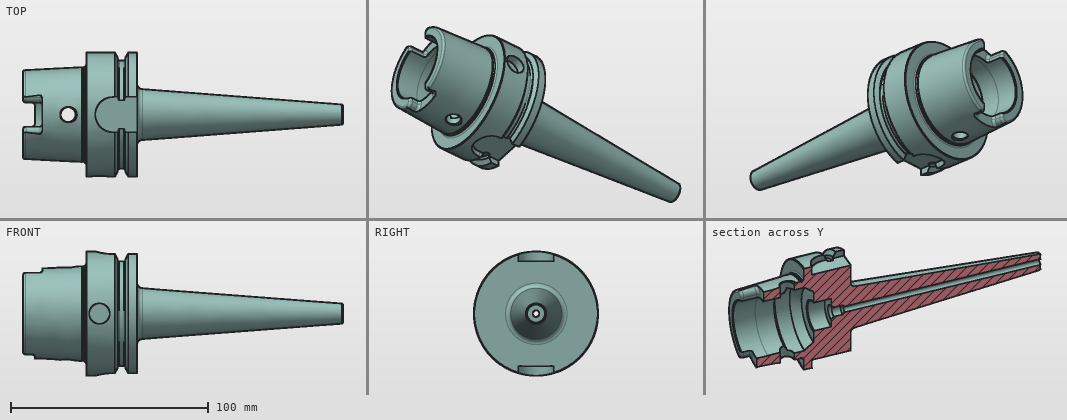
import cadquery as cq
import math


LENGTH = 161.9
FLANGE_START = 31.9
FLANGE_END = 57.8

TAPER_END = 29.8
TAPER_END_DIAMETER = 48.1
TAPER_END_RADIUS = TAPER_END_DIAMETER / 2
TAPER_SLOPE = 0.05
TAPER_MOUTH_RADIUS = TAPER_END_RADIUS - TAPER_SLOPE * TAPER_END
MOUTH_FILLET = 1.1

RELIEF_DEPTH = 0.4
RELIEF_WIDTH = 0.8
SHOULDER_RADIUS = 24.3
SHOULDER_FILLET = 1.0

FLANGE_DIAMETER = 63.0
FLANGE_RADIUS = FLANGE_DIAMETER / 2
FLANGE_CHAMFER = 0.3
GROOVE_CENTER = 49.9
GROOVE_MOUTH_WIDTH = 6.8
GROOVE_NECK_WIDTH = 3.7
GROOVE_FLOOR_RADIUS = 27.5
GROOVE_FILLET = 0.8
GROOVE_FLANK_ANGLE = 30.0
GROOVE_NECK_RADIUS = FLANGE_RADIUS - (GROOVE_MOUTH_WIDTH - GROOVE_NECK_WIDTH) / 2 / math.tan(
    math.radians(GROOVE_FLANK_ANGLE)
)

NOSE_ROOT_RADIUS = 13.0
NOSE_TIP_RADIUS = 5.2
NOSE_ROOT_FILLET = 2.6
NOSE_CHAMFER = 0.6

BORE_RADIUS = 17.0
BORE_CHAMFER = 0.5
BORE_STRAIGHT_DEPTH = 12.3
LIP_X = 22.7
LIP_RADIUS = 16.8
CHAMBER_RADIUS = 19.5
CHAMBER_SHOULDER_LENGTH = 1.6
CHAMBER_END = 32.4
FLOOR_RADIUS = 15.5
BORE_DEPTH = 37.2
COOLANT_RADIUS = 8.5
COOLANT_CHAMFER = 0.5
COOLANT_DEPTH = 9.7
FUNNEL_RADIUS = 4.2
PILOT_RADIUS = 2.8
PILOT_DEPTH = 4.9
CHANNEL_RADIUS = 1.6

DRIVE_WIDTH = 12.1
DRIVE_HALF_WIDTH = DRIVE_WIDTH / 2
DRIVE_FLARE_RADIUS = 2.8
DRIVE_FLARE_TOP = 20.7
DRIVE_CORNER_FILLET = 1.5
DRIVE_MOUTH_FILLET = 1.5
DRIVE_DEPTH_UPPER = 9.9
DRIVE_DEPTH_LOWER = 6.0
PLATE_THICKNESS = 1.6
SELECT_MARGIN = 0.2

CROSS_X = 22.8
CROSS_RADIUS = 3.7
CROSS_CHAMFER = 0.57

KEYWAY_START = 36.6
KEYWAY_HALF_WIDTH = 8.9
KEYWAY_FLOOR = 26.5

POCKET_X = 38.7
POCKET_RADIUS = 5.2
POCKET_DEPTH = 5.0


def turned_body():
    """Solid of revolution: shank, relief, grooved flange and nose."""
    relief_radius = TAPER_END_RADIUS - RELIEF_DEPTH
    relief_end = TAPER_END + RELIEF_WIDTH
    shoulder_start = relief_end + SHOULDER_RADIUS - relief_radius
    mouth_half = GROOVE_MOUTH_WIDTH / 2
    neck_half = GROOVE_NECK_WIDTH / 2
    profile = (
        cq.Workplane("XY")
        .moveTo(0, 0)
        .lineTo(0, TAPER_MOUTH_RADIUS - MOUTH_FILLET)
        .radiusArc((MOUTH_FILLET, TAPER_MOUTH_RADIUS), MOUTH_FILLET)
        .lineTo(TAPER_END, TAPER_END_RADIUS)
        .lineTo(relief_end, relief_radius)
        .lineTo(shoulder_start, SHOULDER_RADIUS)
        .radiusArc((FLANGE_START, SHOULDER_RADIUS + SHOULDER_FILLET), -SHOULDER_FILLET)
        .lineTo(FLANGE_START, FLANGE_RADIUS - FLANGE_CHAMFER)
        .lineTo(FLANGE_START + FLANGE_CHAMFER, FLANGE_RADIUS)
        .lineTo(GROOVE_CENTER - mouth_half, FLANGE_RADIUS)
        .lineTo(GROOVE_CENTER - neck_half, GROOVE_NECK_RADIUS)
        .lineTo(GROOVE_CENTER - neck_half, GROOVE_FLOOR_RADIUS + GROOVE_FILLET)
        .radiusArc((GROOVE_CENTER - neck_half + GROOVE_FILLET, GROOVE_FLOOR_RADIUS), -GROOVE_FILLET)
        .lineTo(GROOVE_CENTER + neck_half - GROOVE_FILLET, GROOVE_FLOOR_RADIUS)
        .radiusArc((GROOVE_CENTER + neck_half, GROOVE_FLOOR_RADIUS + GROOVE_FILLET), -GROOVE_FILLET)
        .lineTo(GROOVE_CENTER + neck_half, GROOVE_NECK_RADIUS)
        .lineTo(GROOVE_CENTER + mouth_half, FLANGE_RADIUS)
        .lineTo(FLANGE_END - FLANGE_CHAMFER, FLANGE_RADIUS)
        .lineTo(FLANGE_END, FLANGE_RADIUS - FLANGE_CHAMFER)
        .lineTo(FLANGE_END, NOSE_ROOT_RADIUS + NOSE_ROOT_FILLET)
        .radiusArc((FLANGE_END + NOSE_ROOT_FILLET, NOSE_ROOT_RADIUS), -NOSE_ROOT_FILLET)
        .lineTo(LENGTH - NOSE_CHAMFER, NOSE_TIP_RADIUS)
        .lineTo(LENGTH, NOSE_TIP_RADIUS - NOSE_CHAMFER)
        .lineTo(LENGTH, 0)
        .close()
    )
    return profile.revolve(360, (0, 0, 0), (1, 0, 0))


def axial_bores():
    """Stepped cavity on the axis, open at both ends."""
    coolant_end = BORE_DEPTH + COOLANT_DEPTH
    funnel_end = coolant_end + FUNNEL_RADIUS - PILOT_RADIUS
    pilot_end = funnel_end + PILOT_DEPTH
    profile = (
        cq.Workplane("XY")
        .moveTo(0, 0)
        .lineTo(0, BORE_RADIUS + BORE_CHAMFER)
        .lineTo(BORE_CHAMFER, BORE_RADIUS)
        .lineTo(BORE_STRAIGHT_DEPTH, BORE_RADIUS)
        .lineTo(LIP_X, LIP_RADIUS)
        .lineTo(LIP_X + CHAMBER_SHOULDER_LENGTH, CHAMBER_RADIUS)
        .lineTo(CHAMBER_END, CHAMBER_RADIUS)
        .lineTo(BORE_DEPTH, FLOOR_RADIUS)
        .lineTo(BORE_DEPTH, COOLANT_RADIUS + COOLANT_CHAMFER)
        .lineTo(BORE_DEPTH + COOLANT_CHAMFER, COOLANT_RADIUS)
        .lineTo(coolant_end, COOLANT_RADIUS)
        .lineTo(coolant_end, FUNNEL_RADIUS)
        .lineTo(funnel_end, PILOT_RADIUS)
        .lineTo(pilot_end, PILOT_RADIUS)
        .lineTo(pilot_end + PILOT_RADIUS - CHANNEL_RADIUS, CHANNEL_RADIUS)
        .lineTo(LENGTH, CHANNEL_RADIUS)
        .lineTo(LENGTH, 0)
        .close()
    )
    return profile.revolve(360, (0, 0, 0), (1, 0, 0))


def drive_slot(depth, side):
    """Slot with walls that flare outward; side is +1 for +Z and -1 for -Z."""
    flare_half = DRIVE_HALF_WIDTH + DRIVE_FLARE_RADIUS
    flare_start = DRIVE_FLARE_TOP - DRIVE_FLARE_RADIUS
    flare_mid = DRIVE_FLARE_RADIUS * math.sqrt(0.5)
    slot = (
        cq.Workplane("YZ")
        .moveTo(-DRIVE_HALF_WIDTH, 0)
        .lineTo(-DRIVE_HALF_WIDTH, flare_start)
        .threePointArc((-flare_half + flare_mid, flare_start + flare_mid), (-flare_half, DRIVE_FLARE_TOP))
        .lineTo(-FLANGE_RADIUS, DRIVE_FLARE_TOP)
        .lineTo(-FLANGE_RADIUS, FLANGE_RADIUS)
        .lineTo(FLANGE_RADIUS, FLANGE_RADIUS)
        .lineTo(FLANGE_RADIUS, DRIVE_FLARE_TOP)
        .lineTo(flare_half, DRIVE_FLARE_TOP)
        .threePointArc((flare_half - flare_mid, flare_start + flare_mid), (DRIVE_HALF_WIDTH, flare_start))
        .lineTo(DRIVE_HALF_WIDTH, 0)
        .close()
        .extrude(depth)
        .faces(">X")
        .edges()
        .fillet(DRIVE_CORNER_FILLET)
    )
    width = 2 * FLANGE_RADIUS
    plate = cq.Workplane("XY").box(PLATE_THICKNESS, width, FLANGE_RADIUS, centered=(False, True, False))
    slot = slot.union(plate.translate((-PLATE_THICKNESS, 0, 0)))
    mouth_walls = cq.selectors.BoxSelector(
        (-SELECT_MARGIN, SELECT_MARGIN - FLANGE_RADIUS, SELECT_MARGIN),
        (SELECT_MARGIN, FLANGE_RADIUS - SELECT_MARGIN, FLANGE_RADIUS - SELECT_MARGIN),
    )
    slot = slot.edges(mouth_walls).fillet(DRIVE_MOUTH_FILLET)
    return slot if side > 0 else slot.mirror("XY")


def cross_hole():
    """Hole along Z through both shank walls, countersunk at the taper surface."""
    surface = TAPER_MOUTH_RADIUS + TAPER_SLOPE * CROSS_X
    sink_start = surface - CROSS_CHAMFER
    sink_height = 2 * CROSS_CHAMFER
    sink_end = sink_start + sink_height
    profile = (
        cq.Workplane("XZ")
        .lineTo(CROSS_RADIUS, 0)
        .lineTo(CROSS_RADIUS, sink_start)
        .lineTo(CROSS_RADIUS + sink_height, sink_end)
        .lineTo(0, sink_end)
        .close()
    )
    half = profile.revolve(360, (0, 0, 0), (0, 1, 0))
    return half.union(half.mirror("XY")).translate((CROSS_X, 0, 0))


def keyway(side):
    """Flat-floored slot with a round end, open toward the nose side of the flange."""
    arc_center = KEYWAY_START + KEYWAY_HALF_WIDTH
    height = FLANGE_RADIUS - KEYWAY_FLOOR
    slot = (
        cq.Workplane("XY", origin=(0, 0, KEYWAY_FLOOR))
        .moveTo(arc_center, -KEYWAY_HALF_WIDTH)
        .threePointArc((KEYWAY_START, 0), (arc_center, KEYWAY_HALF_WIDTH))
        .lineTo(FLANGE_END, KEYWAY_HALF_WIDTH)
        .lineTo(FLANGE_END, -KEYWAY_HALF_WIDTH)
        .close()
        .extrude(height)
    )
    return slot if side > 0 else slot.mirror("XY")


def side_pocket():
    """Blind round pocket sunk radially from the -Y side."""
    return (
        cq.Workplane("XZ", origin=(0, POCKET_DEPTH - FLANGE_RADIUS, 0))
        .center(POCKET_X, 0)
        .circle(POCKET_RADIUS)
        .extrude(POCKET_DEPTH)
    )


body = turned_body().cut(axial_bores())
for side, depth in ((1, DRIVE_DEPTH_UPPER), (-1, DRIVE_DEPTH_LOWER)):
    body = body.cut(drive_slot(depth, side))
    body = body.cut(keyway(side))

result = body.cut(cross_hole()).cut(side_pocket())